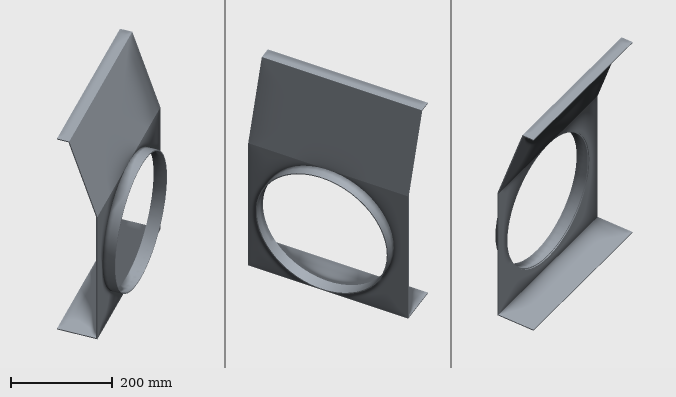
import cadquery as cq
import math

height = 495.5
width = 353.0
depth = 110.5

sheet = 2.5
top_lip = 26.0
plate_height = 317.0

collar_length = 26.0
collar_diameter = 291.5
collar_wall = 2.5
collar_center_y = -1.0
collar_center_z = 171.0
collar_recess = 2.0

plate_back = depth - collar_length
plate_front = plate_back - sheet

slope = math.atan2(plate_back - top_lip, height - plate_height)
lower_bend_shift = sheet * math.tan(slope / 2)
upper_bend_shift = sheet * math.tan((math.pi / 2 - slope) / 2)


def bent_sheet():
    """Base flange, upright plate, sloped panel and top lip, folded from one sheet."""
    outline = [
        (0, 0),
        (plate_back, 0),
        (plate_back, plate_height),
        (top_lip, height),
        (0, height),
        (0, height - sheet),
        (top_lip - upper_bend_shift, height - sheet),
        (plate_front, plate_height - lower_bend_shift),
        (plate_front, sheet),
        (0, sheet),
    ]
    return cq.Workplane("XZ").polyline(outline).close().extrude(width / 2, both=True)


def disc(diameter, start, end):
    """Disc on the collar axis between two X positions."""
    return (
        cq.Workplane("YZ", origin=(start, collar_center_y, collar_center_z))
        .circle(diameter / 2)
        .extrude(end - start)
    )


collar_start = plate_front + collar_recess
plate_hole = disc(collar_diameter, plate_front, plate_back)
collar = disc(collar_diameter, collar_start, depth)
bore = disc(collar_diameter - 2 * collar_wall, collar_start, depth)
result = bent_sheet().cut(plate_hole).union(collar.cut(bore))